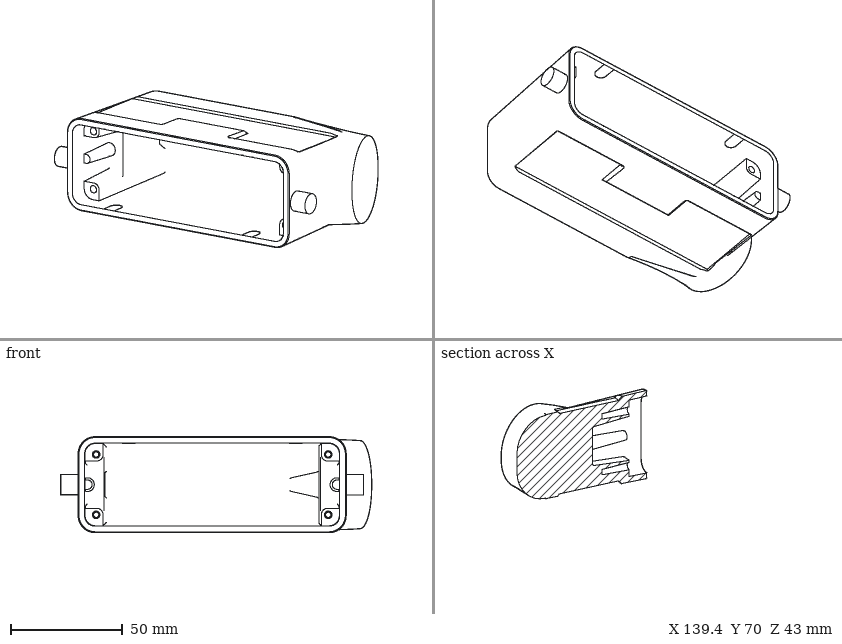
import cadquery as cq
import math

CLEARANCE = 0.7

BODY_LENGTH = 120.1
BODY_WIDTH = 43.0
BODY_DEPTH = 62.5
DRAFT = 1.1
CORNER_RADIUS = 7.7
BACK_EDGE_RADIUS = 3.6
RIM_CHAMFER = 0.4
DRAFT_INSET = BODY_DEPTH * math.tan(math.radians(DRAFT))
BACK_WIDTH = BODY_WIDTH - 2 * DRAFT_INSET
WALL = 2.9
BACK_WALL = 2.9
FLOOR_RADIUS = 0.7
CAVITY_LENGTH = BODY_LENGTH - 2 * WALL
CAVITY_WIDTH = BODY_WIDTH - 2 * WALL
CAVITY_RADIUS = 4.7
CAVITY_FLOOR = BODY_DEPTH - BACK_WALL

PIN_SPAN = 135.7
PIN_RADIUS = 4.6
PIN_Y = 6.0

SPOUT_TILT = 16.2
SPOUT_END = (66.2, 51.8)
SPOUT_HEIGHT = 38.0
SPOUT_WIDTH = 39.5
SPOUT_END_FLAT = 0.3
SPOUT_NECK_BACK = 18.8
SPOUT_NECK_RADIUS = 11.8
SPOUT_NECK_WIDTH = 40.7
SPOUT_ROOT_FILLET = 2.8
SHOULDER_END_Y = 50.1
SPOUT_ROOT_X = 22.7
SPOUT_ROOT_BOTTOM = 19.5

PANEL_Z = 19.6
PANEL_HALF_LENGTH = 55.2
PANEL_BOTTOM = 14.6
PANEL_TOP = 45.0
PANEL_CUT_DEPTH = 2.1
PANEL_BEVEL = 45
TAB_HALF_LENGTH = 19.1
TAB_TOP = 27.7

POST_Y = 9.2
POST_INNER_X = 48.9
POST_EDGE_RADIUS = 2.8
SLOT_WIDTH = 21.2
SLOT_DRAFT = 4.0
SLOT_FLOOR = 27.9
SCREW_X = 52.0
SCREW_Z = 13.5
SCREW_RADIUS = 1.7
SCREW_DRAFT = 2.0
SCREW_DEPTH = 13.9

GUIDE_RADIUS = 2.1
GUIDE_REACH = 3.3
GUIDE_ROOT = 0.7
GUIDE_DRAFT = 3.0

RIDGE_BASE = 11.4
RIDGE_TOP = 5.9
RIDGE_HEIGHT = 3.6
RIDGE_RAMP_X = 34.8
RIDGE_END_X = 47.4

RELIEF_X = 37.3
RELIEF_WIDTH = 5.6
RELIEF_LENGTH = 8.5


def facing_back(y):
    """Workplane at height y whose normal points along +Y."""
    return cq.Workplane(cq.Plane((0, y, 0), (1, 0, 0), (0, 1, 0)))


def make_body():
    """Solid drafted block, cut away where the spout replaces its back corner."""
    body = facing_back(0).rect(BODY_LENGTH, BODY_WIDTH).extrude(BODY_DEPTH, taper=DRAFT)
    body = body.edges("not(#Y)").fillet(CORNER_RADIUS)
    body = body.faces(">Y").edges().fillet(BACK_EDGE_RADIUS)
    body = body.faces("<Y").edges().chamfer(RIM_CHAMFER)
    shoulder = (
        cq.Workplane("XY").moveTo(SPOUT_ROOT_X, BODY_DEPTH - BACK_EDGE_RADIUS)
        .lineTo(BODY_LENGTH / 2, SHOULDER_END_Y)
        .lineTo(BODY_LENGTH / 2, BODY_DEPTH)
        .lineTo(SPOUT_ROOT_X, BODY_DEPTH)
        .close().extrude(BODY_WIDTH, both=True)
    )
    return body.cut(shoulder)


def spout_section(x, y, tilt, width, height, radius):
    angle = math.radians(tilt)
    plane = cq.Plane((x, y, 0), (0, 0, 1), (math.cos(angle), math.sin(angle), 0))
    sketch = cq.Sketch().rect(width, height).vertices().fillet(radius)
    return sketch.moved(cq.Location(plane))


def make_spout():
    """Loft from the block section through a tilted neck to the round end face."""
    root_height = BODY_DEPTH - SPOUT_ROOT_BOTTOM
    root_y = BODY_DEPTH - root_height / 2
    angle = math.radians(SPOUT_TILT)
    end_x, end_y = SPOUT_END
    neck_x = end_x - SPOUT_NECK_BACK * math.cos(angle)
    neck_y = end_y - SPOUT_NECK_BACK * math.sin(angle)
    end_radius = SPOUT_HEIGHT / 2 - SPOUT_END_FLAT / 2
    sections = [
        spout_section(SPOUT_ROOT_X, root_y, 0, BACK_WIDTH, root_height, BACK_EDGE_RADIUS),
        spout_section(neck_x, neck_y, SPOUT_TILT, SPOUT_NECK_WIDTH, SPOUT_HEIGHT, SPOUT_NECK_RADIUS),
        spout_section(end_x, end_y, SPOUT_TILT, SPOUT_WIDTH, SPOUT_HEIGHT, end_radius),
    ]
    return cq.Workplane("XY").placeSketch(*sections).loft()


def make_hood():
    """Body and spout, with a fillet where the spout leaves the +X wall on its lower side."""
    hood = make_body().union(make_spout())
    junction = cq.selectors.BoxSelector(
        (CAVITY_LENGTH / 2, SPOUT_ROOT_BOTTOM, -SPOUT_WIDTH / 2),
        (BODY_LENGTH / 2, SHOULDER_END_Y - CLEARANCE, SPOUT_WIDTH / 2),
    )
    return hood.edges(junction).fillet(SPOUT_ROOT_FILLET)


def make_pins():
    return cq.Workplane("YZ", origin=(-PIN_SPAN / 2, PIN_Y, 0)).circle(PIN_RADIUS).extrude(PIN_SPAN)


def is_gap_floor_edge(edge):
    """True for the edges where a gap floor meets the posts and the end wall."""
    centre = edge.Center()
    return abs(centre.y - SLOT_FLOOR) < CLEARANCE and abs(centre.x) > POST_INNER_X


def make_cavity():
    """Rim pocket, deep central pocket and the two gaps between the posts."""
    full = (
        facing_back(0).sketch().rect(CAVITY_LENGTH, CAVITY_WIDTH).vertices().fillet(CAVITY_RADIUS).finalize()
        .extrude(CAVITY_FLOOR, taper=DRAFT)
    )
    rim = facing_back(0).box(BODY_LENGTH, BODY_WIDTH, POST_Y, centered=(True, True, False))
    centre = facing_back(POST_Y).rect(2 * POST_INNER_X, BODY_WIDTH).extrude(BODY_DEPTH, taper=DRAFT)
    gaps = facing_back(POST_Y).rect(BODY_LENGTH, SLOT_WIDTH).extrude(SLOT_FLOOR - POST_Y, taper=SLOT_DRAFT)
    pocket = full.intersect(rim.union(centre).union(gaps))
    post_edges = pocket.edges(
        cq.selectors.BoxSelector(
            (-POST_INNER_X, POST_Y + CLEARANCE, -SLOT_WIDTH / 2),
            (POST_INNER_X, SLOT_FLOOR - CLEARANCE, SLOT_WIDTH / 2),
        )
    )
    pocket = post_edges.fillet(POST_EDGE_RADIUS)
    gap_edges = pocket.edges().filter(is_gap_floor_edge)
    pocket = gap_edges.fillet(FLOOR_RADIUS).cut(make_ridge())
    floor_edges = pocket.faces(">Y").edges().filter(lambda e: e.Center().x < RIDGE_RAMP_X)
    return floor_edges.fillet(FLOOR_RADIUS)


def make_panel_recess():
    """Bevelled recess of the +Z face, leaving the tab at full height."""
    outline = [
        (-PANEL_HALF_LENGTH, PANEL_BOTTOM),
        (-TAB_HALF_LENGTH, PANEL_BOTTOM),
        (-TAB_HALF_LENGTH, TAB_TOP),
        (TAB_HALF_LENGTH, TAB_TOP),
        (TAB_HALF_LENGTH, PANEL_BOTTOM),
        (PANEL_HALF_LENGTH, PANEL_BOTTOM),
        (PANEL_HALF_LENGTH, PANEL_TOP),
        (-PANEL_HALF_LENGTH, PANEL_TOP),
    ]
    return (
        cq.Workplane("XY", origin=(0, 0, PANEL_Z)).polyline(outline).close()
        .extrude(PANEL_CUT_DEPTH, taper=-PANEL_BEVEL)
    )


def make_guide():
    """Guide rib of the -X end wall."""
    wall_x = -CAVITY_LENGTH / 2
    round_x = wall_x + GUIDE_REACH - GUIDE_RADIUS
    return (
        facing_back(POST_Y).moveTo(wall_x - GUIDE_ROOT, -GUIDE_RADIUS)
        .lineTo(round_x, -GUIDE_RADIUS)
        .threePointArc((round_x + GUIDE_RADIUS, 0), (round_x, GUIDE_RADIUS))
        .lineTo(wall_x - GUIDE_ROOT, GUIDE_RADIUS).close()
        .extrude(SLOT_FLOOR - POST_Y, taper=-GUIDE_DRAFT)
    )


def make_ridge():
    """Tapered ridge on the cavity floor, ramped down at its +X end."""
    top_y = CAVITY_FLOOR - RIDGE_HEIGHT
    profile = [
        (-RIDGE_BASE / 2, -CAVITY_FLOOR),
        (RIDGE_BASE / 2, -CAVITY_FLOOR),
        (RIDGE_TOP / 2, -top_y),
        (-RIDGE_TOP / 2, -top_y),
    ]
    length = POST_INNER_X + RIDGE_END_X
    ridge = (
        cq.Workplane(cq.Plane((-POST_INNER_X, 0, 0), (0, 0, 1), (1, 0, 0)))
        .polyline(profile).close().extrude(length)
    )
    ramp = (
        cq.Workplane("XY").moveTo(RIDGE_RAMP_X, top_y).lineTo(RIDGE_END_X, CAVITY_FLOOR)
        .lineTo(RIDGE_END_X, top_y).close().extrude(RIDGE_BASE, both=True)
    )
    return ridge.cut(ramp).faces("<Y").edges("|X").fillet(FLOOR_RADIUS)


def make_reliefs():
    """U shaped cutters standing full width, so they fade out where the drafted walls reach the rim."""
    radius = RELIEF_WIDTH / 2
    length = RELIEF_LENGTH + radius
    centre_y = RELIEF_LENGTH - length / 2
    return (
        cq.Workplane("XY", origin=(0, 0, -CAVITY_WIDTH / 2))
        .pushPoints([(-RELIEF_X, centre_y), (RELIEF_X, centre_y)])
        .slot2D(length, RELIEF_WIDTH, 90).extrude(CAVITY_WIDTH)
    )


def make_screw_holes():
    return (
        facing_back(POST_Y).rect(2 * SCREW_X, 2 * SCREW_Z, forConstruction=True).vertices()
        .circle(SCREW_RADIUS).extrude(SCREW_DEPTH, taper=SCREW_DRAFT)
    )


guide = make_guide()
recess = make_panel_recess()

result = make_hood().union(make_pins())
result = result.cut(recess).cut(recess.mirror("XY"))
result = result.cut(make_cavity()).cut(make_reliefs()).cut(make_screw_holes())
result = result.union(guide).union(guide.mirror("YZ"))